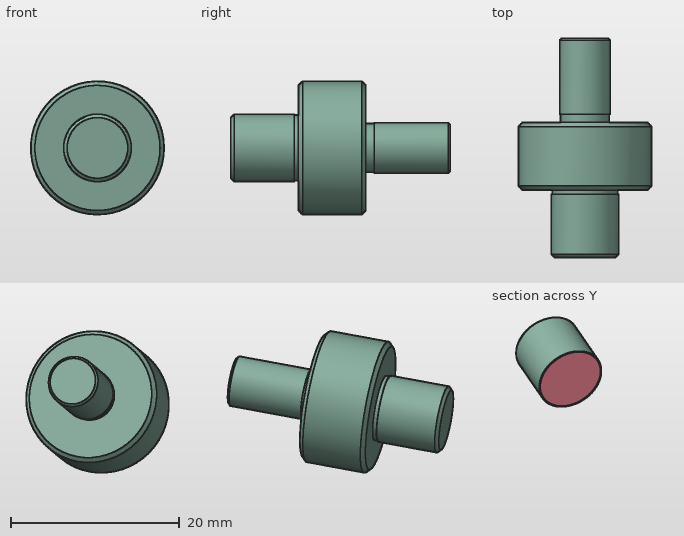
import cadquery as cq

total_length = 26.0

collar_diameter = 15.8
collar_length = 8.0
collar_chamfer = 0.5

thick_diameter = 8.0
thick_length = 8.0
thick_chamfer = 0.42
thick_relief_width = 0.5
thick_relief_depth = 0.1

thin_diameter = 6.0
thin_length = total_length - collar_length - thick_length
thin_chamfer = 0.25
thin_relief_width = 1.0
thin_relief_depth = 0.1

collar_front = -total_length / 2 + thick_length
collar_back = collar_front + collar_length


def cylinder(diameter, start, length):
    """Solid cylinder on the Y axis running from start towards +Y."""
    plane = cq.Plane(origin=(0, start, 0), xDir=(1, 0, 0), normal=(0, 1, 0))
    return cq.Workplane(plane).circle(diameter / 2).extrude(length)


collar = cylinder(collar_diameter, collar_front, collar_length)
collar = collar.faces("<Y or >Y").edges().chamfer(collar_chamfer)

thick_journal = cylinder(thick_diameter, -total_length / 2, thick_length - thick_relief_width)
thick_journal = thick_journal.faces("<Y").edges().chamfer(thick_chamfer)
thick_relief = cylinder(
    thick_diameter - 2 * thick_relief_depth, collar_front - thick_relief_width, thick_relief_width
)

thin_journal = cylinder(thin_diameter, collar_back + thin_relief_width, thin_length - thin_relief_width)
thin_journal = thin_journal.faces(">Y").edges().chamfer(thin_chamfer)
thin_relief = cylinder(thin_diameter - 2 * thin_relief_depth, collar_back, thin_relief_width)

result = collar.union(thick_relief).union(thick_journal).union(thin_relief).union(thin_journal)